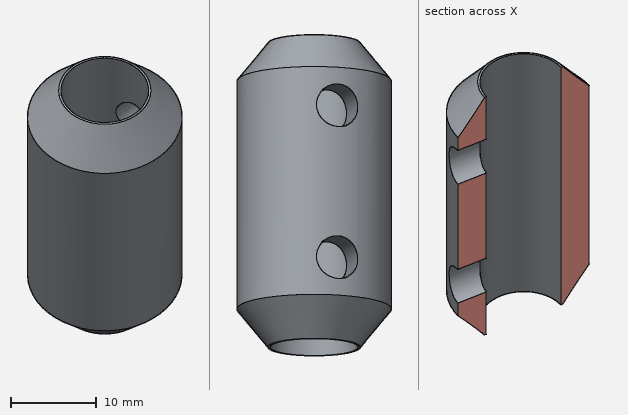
import cadquery as cq

length = 36.0
outer_diameter = 18.0
bore_diameter = 10.2
end_diameter = 10.73
cone_height = 4.5

side_hole_diameter = 5.05
side_hole_spacing = length / 2

outer_radius = outer_diameter / 2
bore_radius = bore_diameter / 2
end_radius = end_diameter / 2
half_length = length / 2
shoulder_z = half_length - cone_height


def make_sleeve():
    """Revolve the wall section around the Z axis."""
    section = [
        (bore_radius, -half_length),
        (end_radius, -half_length),
        (outer_radius, -shoulder_z),
        (outer_radius, shoulder_z),
        (end_radius, half_length),
        (bore_radius, half_length),
    ]
    return cq.Workplane("XZ").polyline(section).close().revolve(360, (0, 0, 0), (0, 1, 0))


def make_side_hole(z):
    """Cylinder from the sleeve axis out through the +Y wall at height z."""
    return cq.Workplane("XZ").center(0, z).circle(side_hole_diameter / 2).extrude(-outer_diameter)


result = make_sleeve()
for hole_z in (-side_hole_spacing / 2, side_hole_spacing / 2):
    result = result.cut(make_side_hole(hole_z))